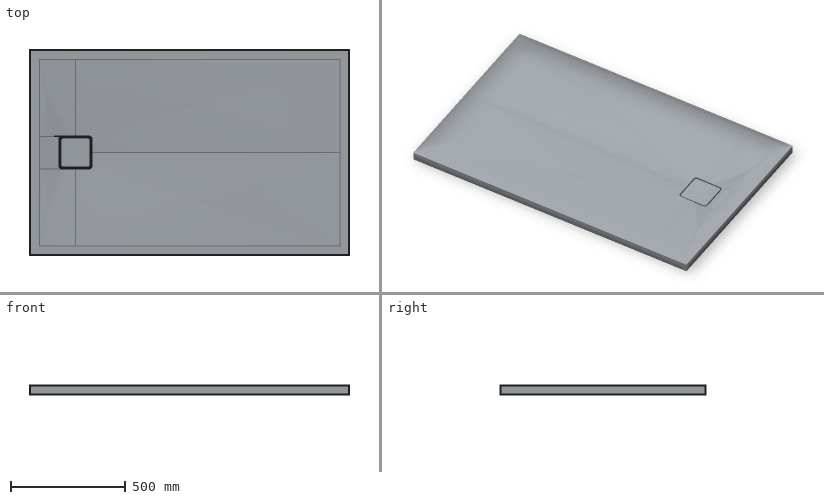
import cadquery as cq

LENGTH = 1400.0
WIDTH = 900.0
HEIGHT = 40.0
EDGE_RADIUS = 2.0

RIM_WIDTH = 40.0

DRAIN_OFFSET = 200.0
DRAIN_SIZE = 143.0
DRAIN_CORNER_RADIUS = 15.0
DRAIN_LEVEL = 17.0

COVER_GAP = 5.0
COVER_THICKNESS = 10.0
COVER_SIZE = DRAIN_SIZE - 2 * COVER_GAP
COVER_CORNER_RADIUS = DRAIN_CORNER_RADIUS - COVER_GAP
COVER_EDGE_RADIUS = 3.0

DRAIN_X = DRAIN_OFFSET - LENGTH / 2
DRAIN_HALF = DRAIN_SIZE / 2
DRAIN_LEFT = DRAIN_X - DRAIN_HALF
BASIN_RIGHT = LENGTH / 2 - RIM_WIDTH
BASIN_LEFT = -BASIN_RIGHT
BASIN_BACK = WIDTH / 2 - RIM_WIDTH
RECESS_Z = HEIGHT - DRAIN_LEVEL - COVER_THICKNESS

VALLEY_DEPTH = DRAIN_LEVEL / (1 - DRAIN_HALF / BASIN_BACK)


def rim_point(x, y):
    return cq.Vector(x, y, HEIGHT)


def sunk_point(x, y, depth):
    return cq.Vector(x, y, HEIGHT - depth)


def mirrored(point):
    return cq.Vector(point.x, -point.y, point.z)


def make_basin():
    """Volume of the basin between the rim level and the sloping surfaces."""
    left_corner = rim_point(BASIN_LEFT, BASIN_BACK)
    middle_corner = rim_point(DRAIN_X, BASIN_BACK)
    right_corner = rim_point(BASIN_RIGHT, BASIN_BACK)
    right_middle = rim_point(BASIN_RIGHT, 0)
    drain_middle = sunk_point(DRAIN_X, 0, VALLEY_DEPTH)
    drain_side = sunk_point(DRAIN_X, DRAIN_HALF, DRAIN_LEVEL)
    drain_end = sunk_point(DRAIN_LEFT, DRAIN_HALF, DRAIN_LEVEL)
    strip_start = rim_point(BASIN_LEFT, DRAIN_HALF)

    valley = cq.Edge.makeLine(drain_middle, right_middle)
    long_slope = cq.Face.makeRuledSurface(valley, cq.Edge.makeLine(middle_corner, right_corner))

    strip_side = cq.Edge.makeSpline([strip_start, drain_end, drain_side])
    short_slope = cq.Face.makeRuledSurface(strip_side, cq.Edge.makeLine(left_corner, middle_corner))

    strip = cq.Face.makeRuledSurface(strip_side, strip_side.mirror("XZ"))

    strip_end = cq.Face.makeFromWires(
        cq.Wire.makePolygon([drain_middle, drain_side, mirrored(drain_side)], close=True)
    )

    lid = cq.Face.makeFromWires(cq.Wire.makePolygon([
        left_corner, right_corner, mirrored(right_corner), mirrored(left_corner),
    ], close=True))
    back_slopes = [long_slope, short_slope]
    front_slopes = [slope.mirror("XZ") for slope in back_slopes]
    shell = cq.Shell.makeShell([*back_slopes, *front_slopes, strip, strip_end, lid])
    return cq.Solid.makeSolid(shell).fix()


def rounded_plate(size, corner_radius, bottom, thickness):
    """Square plate with rounded upright edges, centred on the drain."""
    return (
        cq.Workplane("XY", origin=(DRAIN_X, 0, bottom))
        .rect(size, size)
        .extrude(thickness)
        .edges("|Z")
        .fillet(corner_radius)
    )


def make_tray():
    slab = cq.Workplane("XY").box(LENGTH, WIDTH, HEIGHT, centered=(True, True, False))
    slab = slab.edges().fillet(EDGE_RADIUS)
    recess = rounded_plate(DRAIN_SIZE, DRAIN_CORNER_RADIUS, RECESS_Z, HEIGHT - RECESS_Z)
    return slab.cut(cq.Workplane(make_basin())).cut(recess)


def make_cover():
    plate = rounded_plate(COVER_SIZE, COVER_CORNER_RADIUS, RECESS_Z, COVER_THICKNESS)
    return plate.faces(">Z").edges().fillet(COVER_EDGE_RADIUS)


tray = make_tray()
cover = make_cover()

result = cq.Compound.makeCompound([tray.solids().val(), cover.val()])